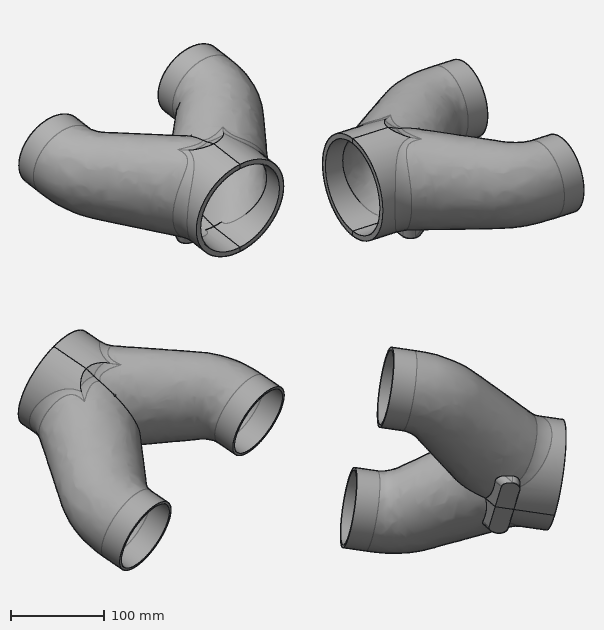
import cadquery as cq
import math


wall = 3

inlet_radius = 60
inlet_mouth_x = 205
inlet_start_x = 120
inlet_bore_start_x = 160

slope_edge_x = 160
slope_angle = math.radians(22)

outlet_radius = 87 / 2
outlet_offset_y = 95.5
spigot_length = 25
bend_radius = 75
bend_angle = math.radians(40)
branch_end_radius = 57
ease_length = 12
bend_steps = 6
taper_steps = 6

inlet_bore_radius = branch_end_radius - wall

blend_radius = 30

foot_half_width = 40
foot_front_x = 140
foot_back_x = 160.5
foot_front_corner_radius = 8
foot_back_corner_radius = 10
foot_root_z = -40

overlap = 15

bend_end_y = outlet_offset_y - bend_radius * (1 - math.cos(bend_angle))
bend_length = bend_radius * bend_angle
taper_length = bend_end_y / math.sin(bend_angle)

widening = (branch_end_radius - outlet_radius) / (bend_length + taper_length - ease_length / 2)


def trim_far_side(body, limit_y):
    """Remove everything below the given Y."""
    size = 4 * inlet_mouth_x
    cutter = cq.Workplane("XY").box(size, size, size).translate((0, limit_y - size / 2, 0))
    return body.cut(cutter)


def branch_section(distance, inset):
    """Circle across the branch, at a distance along its centreline from the end of the spigot."""
    turn = min(distance / bend_radius, bend_angle)
    straight = max(distance - bend_length, 0)
    x = spigot_length + bend_radius * math.sin(turn) + straight * math.cos(turn)
    y = outlet_offset_y - bend_radius * (1 - math.cos(turn)) - straight * math.sin(turn)

    eased = min(distance, ease_length)
    growth = widening * (distance - eased + eased**2 / (2 * ease_length))

    across = cq.Plane((x, y, 0), xDir=(0, 0, -1), normal=(math.cos(turn), -math.sin(turn), 0))
    return cq.Workplane(across).circle(outlet_radius + growth - inset).wires().val()


def make_branch(inset):
    """Solid branch with its surface set in by the given amount."""
    spigot = (
        cq.Workplane("YZ")
        .center(outlet_offset_y, 0)
        .circle(outlet_radius - inset)
        .extrude(spigot_length)
    )
    bend = [bend_length * i / bend_steps for i in range(bend_steps + 1)]
    taper = [bend_length + taper_length * i / taper_steps for i in range(1, taper_steps + 1)]
    sections = [branch_section(distance, inset) for distance in bend + taper]
    return spigot.union(cq.Workplane(cq.Solid.makeLoft(sections)))


def make_inlet():
    """Solid inlet pipe with its sloped flats."""
    pipe = (
        cq.Workplane("YZ", origin=(inlet_start_x, 0, 0))
        .circle(inlet_radius)
        .extrude(inlet_mouth_x - inlet_start_x)
    )
    drop = (slope_edge_x - inlet_start_x) * math.tan(slope_angle)
    wedge = (
        cq.Workplane("XZ")
        .moveTo(inlet_start_x, inlet_radius - drop)
        .lineTo(slope_edge_x, inlet_radius)
        .lineTo(inlet_start_x, inlet_radius)
        .close()
        .extrude(inlet_radius, both=True)
    )
    return pipe.cut(wedge).cut(wedge.mirror("XY"))


def make_foot():
    """Half of the foot, with a 45 degree front and rounded corners."""
    height = foot_root_z + inlet_radius
    return (
        cq.Workplane("XZ")
        .moveTo(foot_front_x, -inlet_radius)
        .lineTo(foot_back_x, -inlet_radius)
        .lineTo(foot_back_x, foot_root_z)
        .lineTo(foot_front_x - height, foot_root_z)
        .close()
        .extrude(-foot_half_width)
        .edges("|(1, 0, -1) and >Y")
        .fillet(foot_front_corner_radius)
        .edges("|Z and >X and >Y")
        .fillet(foot_back_corner_radius)
    )


def make_bore():
    """Hollow of the branch and the inlet."""
    inlet_bore = (
        cq.Workplane("YZ", origin=(inlet_bore_start_x, 0, 0))
        .circle(inlet_bore_radius)
        .extrude(inlet_mouth_x - inlet_bore_start_x)
    )
    return make_branch(wall).union(inlet_bore)


def make_half():
    """Half of the manifold on the +Y side."""
    branch = trim_far_side(make_branch(0), -overlap)
    inlet = trim_far_side(make_inlet(), -overlap)

    side_joint = cq.selectors.BoxSelector((150, 30, -10), (175, inlet_radius, 10))
    top_joint = cq.selectors.BoxSelector((130, 0, 45), (148, 22, inlet_radius))
    outside = branch.union(inlet).edges(side_joint + top_joint).fillet(blend_radius)

    return trim_far_side(outside, 0).union(make_foot()).cut(make_bore())


half = make_half()
mirrored_half = half.mirror("XZ")

result = cq.Compound.makeCompound([half.val(), mirrored_half.val()])